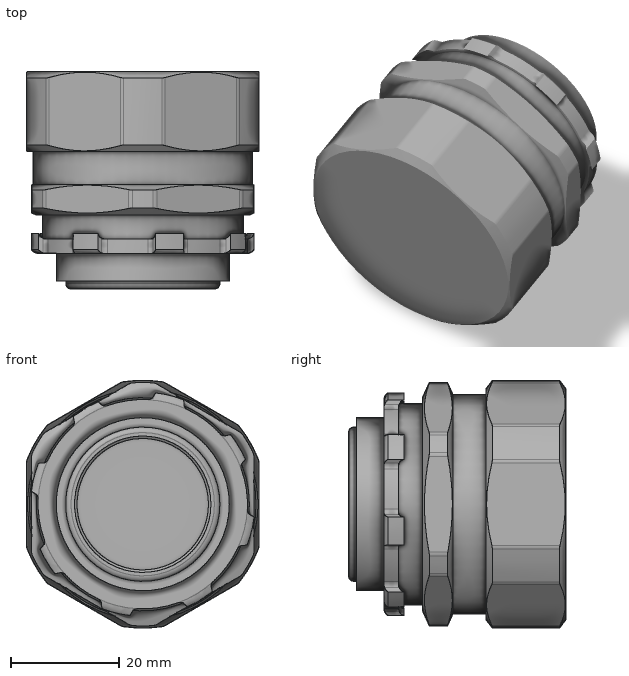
import cadquery as cq
import math


NOSE_BACK = 1.45
LOCKNUT_FRONT = 6.55
RIM_BACK = 9.25
LOCKNUT_BACK = 10.25
BODY_HEX_FRONT = 13.65
BODY_HEX_BACK = 19.3
GLAND_NUT_FRONT = 25.4
GLAND_NUT_BACK = 40.2

NOSE_DIAMETER = 28.5
THREAD_DIAMETER = 32.0
NECK_DIAMETER = 37.2
COLLAR_DIAMETER = 40.6

NOSE_ROUND = 1.0
MOUTH_RADIUS = 12.6
MOUTH_DEPTH = 0.45

HEX_EDGE_ROUND = 1.85
GLAND_NUT_FLATS = 43.0
GLAND_NUT_CORNERS = 45.85
GLAND_NUT_CHAMFER = 1.2
GLAND_NUT_END_RADIUS = 21.3
GLAND_NUT_BORE_RADIUS = 20.95
GLAND_NUT_BORE_DEPTH = 4.6
BODY_HEX_FLATS = 41.05
BODY_HEX_CORNERS = 45.0
BODY_HEX_FRONT_CHAMFER = 1.3
BODY_HEX_FRONT_RADIUS = 19.7
BODY_HEX_BACK_CHAMFER = 1.0

LUG_COUNT = 8
FIRST_LUG_ANGLE = 31.0
LUG_OUTER_RADIUS = 20.7
LUG_TIP_WIDTH = 5.23
LUG_SIDE_SLOPE = 18.0
LUG_ROOT_ROUND = 1.1
LUG_NOSE_LENGTH = 0.75
LUG_TRIM_ALLOWANCE = 0.45
LOCKNUT_RIM_RADIUS = 19.35


def disc(diameter, front, back):
    """Cylinder on the Y axis between two stations."""
    return cq.Workplane("XZ", origin=(0, back, 0)).circle(diameter / 2).extrude(back - front)


def turned(sketch):
    """Revolve a (radius, y) outline about the Y axis."""
    return sketch.close().revolve(360, (0, 0, 0), (0, 1, 0))


def hexagon(flats, corners, front, back, front_radius, front_chamfer, back_radius, back_chamfer):
    """Hexagon with flats towards +X and -X, round corners and coned ends."""
    prism = (
        cq.Workplane("XZ", origin=(0, back, 0))
        .polygon(6, flats, circumscribed=True)
        .extrude(back - front)
        .intersect(disc(corners, front, back))
        .edges("|Y")
        .fillet(HEX_EDGE_ROUND)
    )
    corner_radius = corners / 2
    envelope = turned(
        cq.Workplane("XY")
        .moveTo(0, front)
        .lineTo(front_radius, front)
        .lineTo(corner_radius, front + front_chamfer)
        .lineTo(corner_radius, back - back_chamfer)
        .lineTo(back_radius, back)
        .lineTo(0, back)
    )
    return prism.intersect(envelope)


def nose():
    """Round-edged front end with a shallow coned recess."""
    plug = disc(NOSE_DIAMETER, 0, NOSE_BACK).faces("<Y").edges().fillet(NOSE_ROUND)
    recess = turned(
        cq.Workplane("XY")
        .lineTo(MOUTH_RADIUS, 0)
        .lineTo(MOUTH_RADIUS - MOUTH_DEPTH, MOUTH_DEPTH)
        .lineTo(0, MOUTH_DEPTH)
    )
    return plug.cut(recess)


def bend_middle(radius, station, height, length):
    """Middle of an arc that starts radially at (radius, station) and spans height by length."""
    bend_radius = (height**2 + length**2) / (2 * length)
    half_sweep = math.atan2(length, height)
    return (
        radius + bend_radius * math.sin(half_sweep),
        station + bend_radius * (1 - math.cos(half_sweep)),
    )


def locknut_lugs():
    """Wedge-sided bars for all lugs, rooted inside the rim."""
    tip_half = LUG_TIP_WIDTH / 2
    tip = LUG_OUTER_RADIUS + LUG_TRIM_ALLOWANCE
    root = THREAD_DIAMETER / 2
    side_run = math.tan(math.radians(LUG_SIDE_SLOPE))
    outer_half = tip_half - LUG_TRIM_ALLOWANCE * side_run
    root_half = tip_half + (LUG_OUTER_RADIUS - root) * side_run
    outline = [(root, -root_half), (tip, -outer_half), (tip, outer_half), (root, root_half)]
    bar = (
        cq.Workplane("XZ", origin=(0, LOCKNUT_BACK, 0))
        .polyline(outline)
        .close()
        .extrude(LOCKNUT_BACK - LOCKNUT_FRONT)
    )
    lugs = cq.Workplane("XY")
    for index in range(LUG_COUNT):
        angle = FIRST_LUG_ANGLE + index * 360 / LUG_COUNT
        lugs = lugs.add(bar.rotate((0, 0, 0), (0, 1, 0), -angle))
    return lugs.combine()


def locknut():
    """Ring with eight claw lugs that curve back past the rim."""
    rim = disc(2 * LOCKNUT_RIM_RADIUS, LOCKNUT_FRONT, LOCKNUT_BACK)
    wheel = rim.union(locknut_lugs())
    near_rim = (LUG_OUTER_RADIUS + LOCKNUT_RIM_RADIUS) / 2
    roots = wheel.edges("|Y").filter(
        lambda edge: math.hypot(edge.Center().x, edge.Center().z) < near_rim
    )
    wheel = wheel.newObject(roots.vals()).fillet(LUG_ROOT_ROUND)

    lug_height = LUG_OUTER_RADIUS - LOCKNUT_RIM_RADIUS
    envelope = turned(
        cq.Workplane("XY")
        .moveTo(0, LOCKNUT_FRONT)
        .lineTo(LOCKNUT_RIM_RADIUS, LOCKNUT_FRONT)
        .threePointArc(
            bend_middle(LOCKNUT_RIM_RADIUS, LOCKNUT_FRONT, lug_height, LUG_NOSE_LENGTH),
            (LUG_OUTER_RADIUS, LOCKNUT_FRONT + LUG_NOSE_LENGTH),
        )
        .lineTo(LUG_OUTER_RADIUS, LOCKNUT_BACK)
        .threePointArc(
            bend_middle(LOCKNUT_RIM_RADIUS, RIM_BACK, lug_height, LOCKNUT_BACK - RIM_BACK),
            (LOCKNUT_RIM_RADIUS, RIM_BACK),
        )
        .lineTo(0, RIM_BACK)
    )
    return wheel.intersect(envelope)


gland_nut = hexagon(
    GLAND_NUT_FLATS,
    GLAND_NUT_CORNERS,
    GLAND_NUT_FRONT,
    GLAND_NUT_BACK,
    GLAND_NUT_END_RADIUS,
    GLAND_NUT_CHAMFER,
    GLAND_NUT_END_RADIUS,
    GLAND_NUT_CHAMFER,
).cut(disc(2 * GLAND_NUT_BORE_RADIUS, GLAND_NUT_FRONT, GLAND_NUT_FRONT + GLAND_NUT_BORE_DEPTH))
body_hex = hexagon(
    BODY_HEX_FLATS,
    BODY_HEX_CORNERS,
    BODY_HEX_FRONT,
    BODY_HEX_BACK,
    BODY_HEX_FRONT_RADIUS,
    BODY_HEX_FRONT_CHAMFER,
    COLLAR_DIAMETER / 2,
    BODY_HEX_BACK_CHAMFER,
)

result = (
    nose()
    .union(disc(THREAD_DIAMETER, NOSE_BACK, LOCKNUT_FRONT))
    .union(locknut())
    .union(disc(NECK_DIAMETER, RIM_BACK, BODY_HEX_FRONT))
    .union(body_hex)
    .union(disc(COLLAR_DIAMETER, BODY_HEX_BACK, GLAND_NUT_FRONT + GLAND_NUT_BORE_DEPTH))
    .union(gland_nut)
)